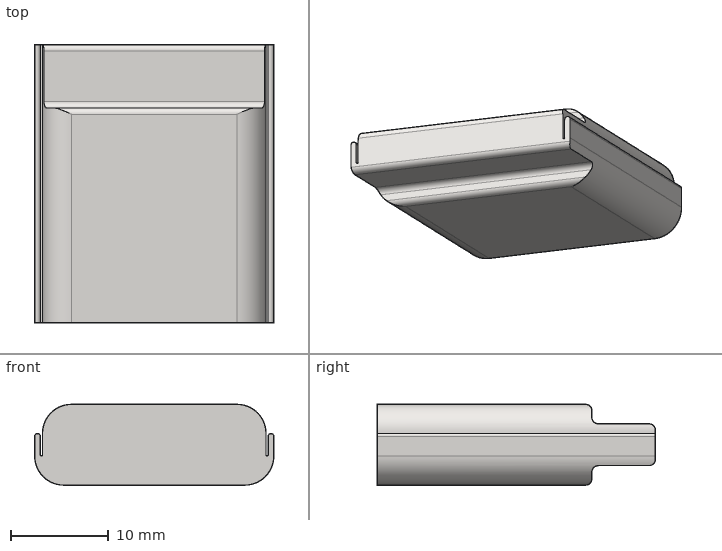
import cadquery as cq

width = 24.5
length = 28.5
height = 8.3

corner_radius = 3.0
lip_thickness = 0.6
slot_width = 0.2
lip_top = 5.3
slot_bottom = 3.0

tongue_length = 6.5
tongue_thickness = 4.3
edge_radius = 0.65

half_width = width / 2
slot_outer_x = half_width - lip_thickness
body_half_width = slot_outer_x - slot_width


def make_body():
    """Extrude the lipped cross-section along Y."""
    lip_radius = lip_thickness / 2
    slot_radius = slot_width / 2
    lip_mid_x = half_width - lip_radius
    slot_mid_x = slot_outer_x - slot_radius
    half_section = (
        cq.Workplane("XZ")
        .lineTo(half_width - corner_radius, 0)
        .radiusArc((half_width, corner_radius), -corner_radius)
        .lineTo(half_width, lip_top - lip_radius)
        .threePointArc((lip_mid_x, lip_top), (slot_outer_x, lip_top - lip_radius))
        .lineTo(slot_outer_x, slot_bottom + slot_radius)
        .threePointArc((slot_mid_x, slot_bottom), (body_half_width, slot_bottom + slot_radius))
        .lineTo(body_half_width, height - corner_radius)
        .radiusArc((body_half_width - corner_radius, height), -corner_radius)
        .lineTo(0, height)
    )
    return half_section.mirrorY().extrude(-length)


def make_side_envelope():
    """Full-width prism whose side profile steps down to the rounded tongue."""
    step_y = length - tongue_length
    tongue_bottom = (height - tongue_thickness) / 2
    tongue_top = tongue_bottom + tongue_thickness
    profile = (
        cq.Workplane("YZ", origin=(-half_width, 0, 0))
        .polyline([
            (0, 0),
            (step_y, 0),
            (step_y, tongue_bottom),
            (length, tongue_bottom),
            (length, tongue_top),
            (step_y, tongue_top),
            (step_y, height),
            (0, height),
        ])
        .close()
    )
    prism = profile.extrude(width)
    return prism.edges("|X and (not <Y)").fillet(edge_radius)


result = make_body().intersect(make_side_envelope())